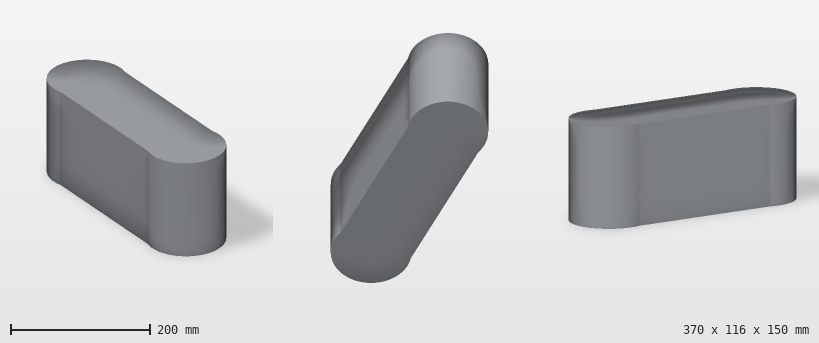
import cadquery as cq

height = 150.0
end_diameter = 116.0
center_distance = 254.0
web_width = 112.0


def round_ends():
    """Two full cylinders, one at each end of the body."""
    end_centers = [(-center_distance / 2, 0), (center_distance / 2, 0)]
    return cq.Workplane("XY").pushPoints(end_centers).circle(end_diameter / 2).extrude(height)


def web():
    """Flat-sided block running from one cylinder axis to the other."""
    return cq.Workplane("XY").rect(center_distance, web_width).extrude(height)


result = web().union(round_ends())